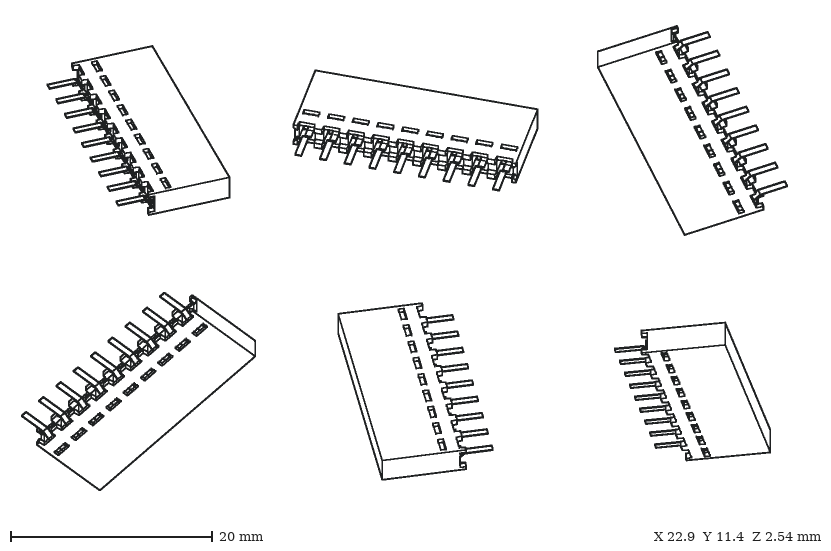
import math

import cadquery as cq

PITCH = 2.54
CONTACT_COUNT = 9
HOUSING_LENGTH = CONTACT_COUNT * PITCH
HOUSING_DEPTH = 8.5
HOUSING_THICKNESS = 2.54

FRONT_RECESS_DEPTH = 0.6
CAVITY_MOUTH_WIDTH = 1.68
CAVITY_MOUTH_HEIGHT = 1.66
CAVITY_END_WIDTH = 1.5
CAVITY_END_HEIGHT = 1.56
REAR_WALL = 0.5

SLOT_HEIGHT = 1.34
SLOT_END_FLARE = 0.26

NOTCH_FRONT_WIDTH = 1.74
NOTCH_REAR_WIDTH = 1.58

WINDOW_WIDTH = 1.6
WINDOW_LENGTH = 0.56
WINDOW_START = 1.92

CONTACT_WIDTH = 0.65
CONTACT_THICKNESS = 0.1
TAIL_LENGTH = 2.9
BEND_ANGLE = math.radians(40)

cavity_end = HOUSING_DEPTH - REAR_WALL
cavity_floor = -CAVITY_MOUTH_HEIGHT / 2
contact_positions = [(i - (CONTACT_COUNT - 1) / 2) * PITCH for i in range(CONTACT_COUNT)]


def box(width, y_start, y_end, height, x=0):
    """Block centred on x and mid-height, spanning y_start to y_end."""
    length = y_end - y_start
    return cq.Workplane("XY").box(width, length, height).translate((x, y_start + length / 2, 0))


def front_slot():
    """Slot along the front face with 45 degree flares at both ends."""
    end = HOUSING_LENGTH / 2
    inner_end = end - SLOT_END_FLARE
    half = SLOT_HEIGHT / 2
    half_at_end = half + SLOT_END_FLARE
    outline = [
        (-end, -half_at_end),
        (-inner_end, -half),
        (inner_end, -half),
        (end, -half_at_end),
        (end, half_at_end),
        (inner_end, half),
        (-inner_end, half),
        (-end, half_at_end),
    ]
    return cq.Workplane("XZ").polyline(outline).close().extrude(-FRONT_RECESS_DEPTH)


def lip_notch(x):
    """Trapezoidal notch cut through both front lips."""
    half_front = NOTCH_FRONT_WIDTH / 2
    half_rear = NOTCH_REAR_WIDTH / 2
    outline = [
        (x - half_front, 0),
        (x + half_front, 0),
        (x + half_rear, FRONT_RECESS_DEPTH),
        (x - half_rear, FRONT_RECESS_DEPTH),
    ]
    return cq.Workplane("XY").polyline(outline).close().extrude(HOUSING_THICKNESS / 2, both=True)


def cavity(x):
    """Contact cavity tapering from its mouth to its closed end."""
    return (
        cq.Workplane("XZ", origin=(x, FRONT_RECESS_DEPTH, 0))
        .rect(CAVITY_MOUTH_WIDTH, CAVITY_MOUTH_HEIGHT)
        .workplane(offset=FRONT_RECESS_DEPTH - cavity_end)
        .rect(CAVITY_END_WIDTH, CAVITY_END_HEIGHT)
        .loft(ruled=True)
    )


def window(x):
    """Opening through both walls into the cavity."""
    return box(WINDOW_WIDTH, WINDOW_START, WINDOW_START + WINDOW_LENGTH, HOUSING_THICKNESS, x)


def contact(x):
    """Bent flat contact: a side profile extruded across its width."""
    tail_top = CONTACT_THICKNESS / 2
    tail_bottom = -CONTACT_THICKNESS / 2
    blade_top = cavity_floor + CONTACT_THICKNESS
    bend_run = (tail_top - blade_top) / math.tan(BEND_ANGLE)
    underside_shift = CONTACT_THICKNESS * math.tan(BEND_ANGLE / 2)
    profile = [
        (-TAIL_LENGTH, tail_bottom),
        (-TAIL_LENGTH, tail_top),
        (0, tail_top),
        (bend_run, blade_top),
        (cavity_end, blade_top),
        (cavity_end, cavity_floor),
        (bend_run - underside_shift, cavity_floor),
        (-underside_shift, tail_bottom),
    ]
    start = x - CONTACT_WIDTH / 2
    return cq.Workplane("YZ", origin=(start, 0, 0)).polyline(profile).close().extrude(CONTACT_WIDTH)


result = box(HOUSING_LENGTH, 0, HOUSING_DEPTH, HOUSING_THICKNESS).cut(front_slot())
for x in contact_positions:
    result = result.cut(lip_notch(x)).cut(cavity(x)).cut(window(x))
    result = result.union(contact(x))